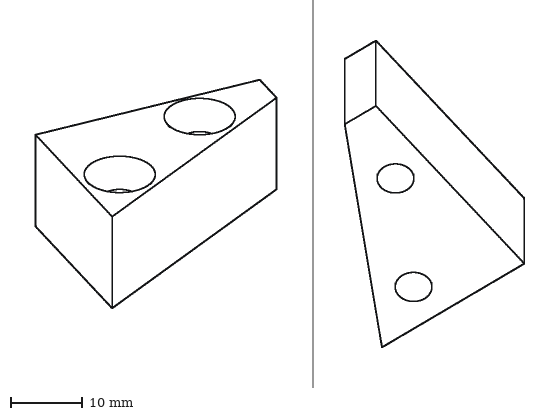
import cadquery as cq

width = 25.0
length = 35.0
height = 15.0
narrow_width = 5.5

bore_diameter = 5.18
sink_diameter = 10.0
sink_depth = 4.0
hole_centres = [(narrow_width, 23.0), (14.98, 6.0)]


def wedge_block():
    """Right-angled block whose +X side slants toward the narrow end."""
    outline = [(0, 0), (width, 0), (narrow_width, length), (0, length)]
    return cq.Workplane("XY").polyline(outline).close().extrude(height)


def countersunk_hole(x, y):
    """Cutter for a through bore with a conical mouth in the top face."""
    bore = cq.Workplane("XY").center(x, y).circle(bore_diameter / 2).extrude(height)
    cone = cq.Solid.makeCone(
        sink_diameter / 2,
        bore_diameter / 2,
        sink_depth,
        pnt=cq.Vector(x, y, height),
        dir=cq.Vector(0, 0, -1),
    )
    return bore.union(cq.Workplane(cone))


result = wedge_block()
for centre_x, centre_y in hole_centres:
    result = result.cut(countersunk_hole(centre_x, centre_y))